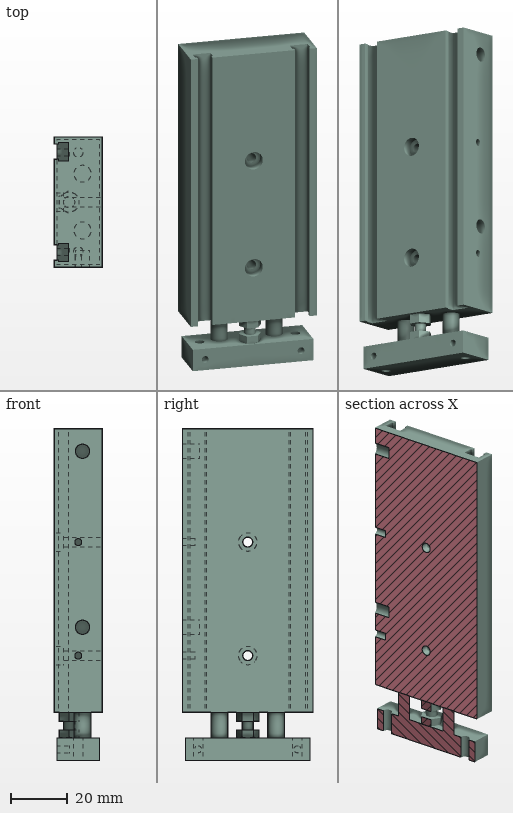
import cadquery as cq
import math

HOUSING_DEPTH = 17.0
HOUSING_WIDTH = 46.0
HOUSING_HEIGHT = 100.0
PLATE_DEPTH = 15.0
PLATE_WIDTH = 44.0
PLATE_HEIGHT = 8.0
GAP = 9.0

HOUSING_BOTTOM = PLATE_HEIGHT + GAP
HOUSING_FRONT = -HOUSING_DEPTH / 2
HOUSING_SIDE = -HOUSING_WIDTH / 2
PLATE_FRONT = -PLATE_DEPTH / 2

SLOT_OFFSET = 17.75
SLOT_MOUTH_WIDTH = 5.3
SLOT_INNER_WIDTH = 6.5
SLOT_LIP = 1.5
SLOT_DEPTH = 5.0

MOUNT_HEIGHTS = [HOUSING_BOTTOM + 20.0, HOUSING_BOTTOM + 60.0]
MOUNT_DIAMETER = 3.4
COUNTERBORE_DIAMETER = 6.5
COUNTERBORE_DEPTH = 3.3

PORT_HEIGHTS = [HOUSING_BOTTOM + 30.0, HOUSING_BOTTOM + 92.0]
PORT_X = 1.5
PORT_DIAMETER = 5.0
PORT_DEPTH = 6.0
TAPPED_DIAMETER = 2.46
TAPPED_DEPTH = 4.5

ROD_DIAMETER = 6.0
ROD_X = 1.5
ROD_OFFSET = 10.0
PLATE_HOLE_OFFSET = 17.5
PLATE_HOLE_X = 0.0
PLATE_HOLE_DIAMETER = 3.4

BOLT_X = -3.2
BOLT_DIAMETER = 4.0
HEX_ACROSS_FLATS = 7.0
HEAD_HEIGHT = 3.2
NUT_HEIGHT = 2.8
HEX_SIDES = 6
HEX_TURN = 180.0 / HEX_SIDES
HEX_CHAMFER_ANGLE = 30.0


def cylinder(start, direction, diameter, length):
    """Cylinder that runs from the start point along the direction."""
    return cq.Workplane(
        cq.Solid.makeCylinder(diameter / 2, length, cq.Vector(*start), cq.Vector(*direction))
    )


def upright_box(depth, width, height, bottom):
    """Box centred on the Z axis with its underside at the given height."""
    return cq.Workplane("XY").workplane(offset=bottom).box(depth, width, height, centered=(True, True, False))


def make_slot(y):
    """T-slot cutter open towards -X: a narrow mouth and a wider inside."""
    half_mouth = SLOT_MOUTH_WIDTH / 2
    half_inner = SLOT_INNER_WIDTH / 2
    lip = HOUSING_FRONT + SLOT_LIP
    floor = HOUSING_FRONT + SLOT_DEPTH
    outline = [
        (HOUSING_FRONT, y - half_mouth),
        (lip, y - half_mouth),
        (lip, y - half_inner),
        (floor, y - half_inner),
        (floor, y + half_inner),
        (lip, y + half_inner),
        (lip, y + half_mouth),
        (HOUSING_FRONT, y + half_mouth),
    ]
    return cq.Workplane("XY").workplane(offset=HOUSING_BOTTOM).polyline(outline).close().extrude(HOUSING_HEIGHT)


def make_housing():
    body = upright_box(HOUSING_DEPTH, HOUSING_WIDTH, HOUSING_HEIGHT, HOUSING_BOTTOM)
    for side in (-1, 1):
        body = body.cut(make_slot(side * SLOT_OFFSET))
    for z in MOUNT_HEIGHTS:
        face_point = (HOUSING_FRONT, 0, z)
        body = body.cut(cylinder(face_point, (1, 0, 0), MOUNT_DIAMETER, HOUSING_DEPTH))
        body = body.cut(cylinder(face_point, (1, 0, 0), COUNTERBORE_DIAMETER, COUNTERBORE_DEPTH))
        body = body.cut(cylinder((0, HOUSING_SIDE, z), (0, 1, 0), TAPPED_DIAMETER, TAPPED_DEPTH))
    for z in PORT_HEIGHTS:
        body = body.cut(cylinder((PORT_X, HOUSING_SIDE, z), (0, 1, 0), PORT_DIAMETER, PORT_DEPTH))
    return body


def make_rod_plate():
    """End plate with the two guide rods that reach up to the housing."""
    body = upright_box(PLATE_DEPTH, PLATE_WIDTH, PLATE_HEIGHT, 0)
    for side in (-1, 1):
        rod_base = (ROD_X, side * ROD_OFFSET, PLATE_HEIGHT)
        body = body.union(cylinder(rod_base, (0, 0, 1), ROD_DIAMETER, GAP))
        hole_y = side * PLATE_HOLE_OFFSET
        body = body.cut(cylinder((PLATE_HOLE_X, hole_y, 0), (0, 0, 1), PLATE_HOLE_DIAMETER, PLATE_HEIGHT))
        front_point = (PLATE_FRONT, hole_y, PLATE_HEIGHT / 2)
        body = body.cut(cylinder(front_point, (1, 0, 0), TAPPED_DIAMETER, TAPPED_DEPTH))
    return body


def make_hexagon(bottom, height):
    """Hexagon with flats facing +X and -X."""
    across_corners = HEX_ACROSS_FLATS / math.cos(math.radians(HEX_TURN))
    return (
        cq.Workplane("XY", origin=(BOLT_X, 0, bottom))
        .transformed(rotate=(0, 0, HEX_TURN))
        .polygon(HEX_SIDES, across_corners)
        .extrude(height)
    )


def make_nut():
    """Lower hexagon, with the corners of its underside chamfered by a cone."""
    rise = math.tan(math.radians(HEX_CHAMFER_ANGLE))
    bottom_radius = HEX_ACROSS_FLATS / 2
    top_radius = bottom_radius + NUT_HEIGHT / rise
    cone = cq.Solid.makeCone(bottom_radius, top_radius, NUT_HEIGHT, cq.Vector(BOLT_X, 0, PLATE_HEIGHT))
    return make_hexagon(PLATE_HEIGHT, NUT_HEIGHT).intersect(cq.Workplane(cone))


def make_bolt():
    shank = cylinder((BOLT_X, 0, PLATE_HEIGHT), (0, 0, 1), BOLT_DIAMETER, GAP)
    head = make_hexagon(HOUSING_BOTTOM - HEAD_HEIGHT, HEAD_HEIGHT)
    return shank.union(make_nut()).union(head)


housing = make_housing()
rod_plate = make_rod_plate()
bolt = make_bolt()

result = cq.Compound.makeCompound([housing.val(), rod_plate.val(), bolt.val()])